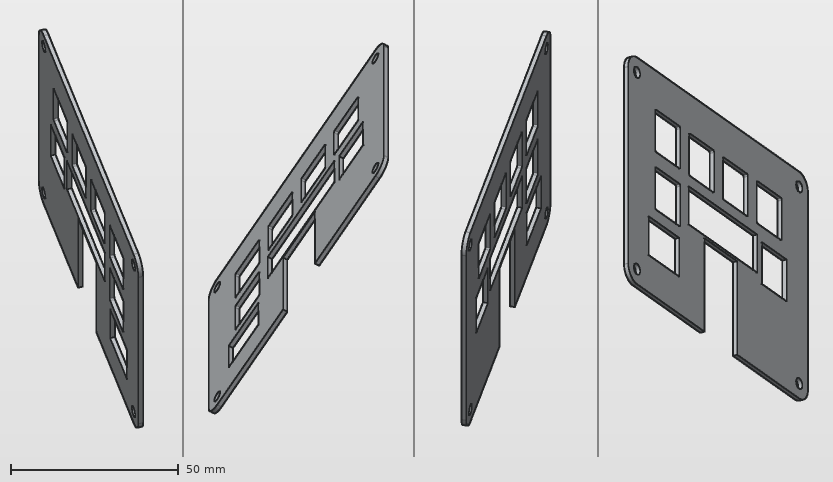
import cadquery as cq

plate_width = 101.5
plate_height = 75.1
plate_thickness = 1.5
corner_radius = 5.0

hole_diameter = 3.5
hole_spacing_x = plate_width - 2 * corner_radius
hole_spacing_z = plate_height - 2 * corner_radius

key_size = 14.0
key_corner_radius = 0.5
key_pitch = 19.1
key_count = 4
first_key_x = -28.8
key_row_z = 17.7
last_key_x = first_key_x + (key_count - 1) * key_pitch
lower_key_z = key_row_z - key_pitch

square_window_size = 13.8
square_window_x = -31.7
long_window_width = 38.5
long_window_height = 12.6
long_window_x = -2.7
long_window_z = 0.6
side_window_width = 17.2
side_window_height = 12.8
side_window_x = 30.5
side_window_z = -18.8

notch_width = 18.4
notch_x = -1.5
notch_top_z = -6.6
notch_height = notch_top_z + plate_height / 2


def block(width, height, x, z):
    """Box through the plate thickness, centred at (x, z)."""
    return cq.Workplane("XY").box(width, plate_thickness, height).translate((x, 0, z))


def key_opening(x, z):
    return block(key_size, key_size, x, z).edges("|Y").fillet(key_corner_radius)


plate = block(plate_width, plate_height, 0, 0).edges("|Y").fillet(corner_radius)

mounting_holes = (
    cq.Workplane("XZ")
    .rarray(hole_spacing_x, hole_spacing_z, 2, 2)
    .circle(hole_diameter / 2)
    .extrude(plate_thickness / 2, both=True)
)
plate = plate.cut(mounting_holes)

for index in range(key_count):
    plate = plate.cut(key_opening(first_key_x + index * key_pitch, key_row_z))
plate = plate.cut(key_opening(last_key_x, lower_key_z))

plate = plate.cut(block(square_window_size, square_window_size, square_window_x, lower_key_z))
plate = plate.cut(block(long_window_width, long_window_height, long_window_x, long_window_z))
plate = plate.cut(block(side_window_width, side_window_height, side_window_x, side_window_z))

notch_z = notch_top_z - notch_height / 2
plate = plate.cut(block(notch_width, notch_height, notch_x, notch_z))

result = plate